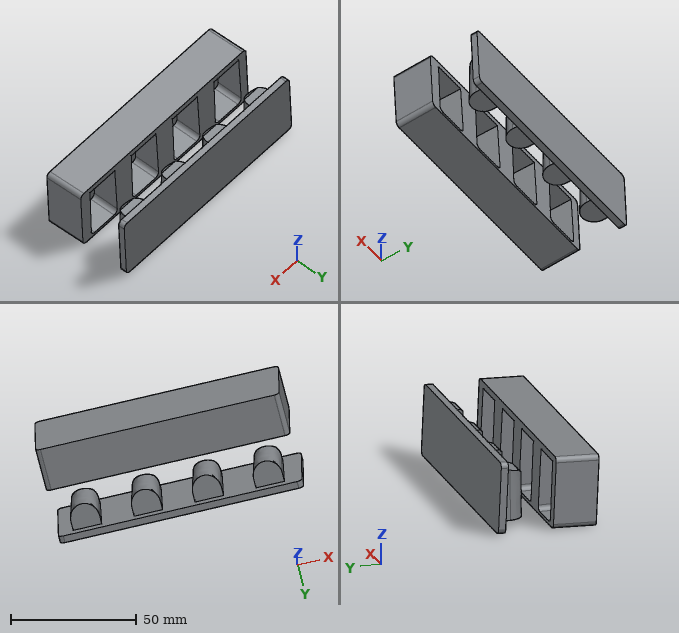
import cadquery as cq
import math

LENGTH = 100.0
HEIGHT = 30.0
CORNER_RADIUS = 2.0
TILT = 2.5
PLATE_THICKNESS = 3.0
HOUSING_DEPTH = 18.0
GAP = 20.0

PRONG_COUNT = 4
PRONG_PITCH = LENGTH / PRONG_COUNT
PRONG_ROW_SHIFT = -0.5
PRONG_BOTTOM = 3.4
PRONG_BASE_WIDTH = 11.7
PRONG_TOP_WIDTH = 11.0
PRONG_BASE_REACH = 10.3
PRONG_TOP_REACH = 10.1
STRAIGHT_REACH = 4.0
ROOT_TOP = 25.2
SLOPE_END_REACH = 8.1
SLOPE_END_HEIGHT = 23.7
NOSE_TOP = 21.4

CLEARANCE = 2.0

TILT_SINE = math.sin(math.radians(TILT))
TILT_COSINE = math.cos(math.radians(TILT))
PLATE_SPAN = PLATE_THICKNESS * TILT_COSINE
PLATE_LIFT = PLATE_THICKNESS * TILT_SINE
ROOT_Y = -HEIGHT * TILT_SINE
PRONG_CENTRES = [
    PRONG_ROW_SHIFT + (i - (PRONG_COUNT - 1) / 2) * PRONG_PITCH for i in range(PRONG_COUNT)
]


def leaning_block(depth):
    """Rounded block whose lower back edge lies on the X axis, extending toward -Y."""
    block = (
        cq.Workplane("XY")
        .box(LENGTH, depth, HEIGHT, centered=(True, False, False))
        .translate((0, -depth, 0))
        .edges("|Y")
        .fillet(CORNER_RADIUS)
    )
    return block.rotate((0, 0, 0), (1, 0, 0), TILT)


def prong_outline(sketch, width, reach):
    """D-shaped cross-section: straight sides closed by a half-ellipse nose."""
    half = width / 2
    return (
        sketch.moveTo(half, -STRAIGHT_REACH)
        .lineTo(half, PLATE_SPAN / 2)
        .lineTo(-half, PLATE_SPAN / 2)
        .lineTo(-half, -STRAIGHT_REACH)
        .ellipseArc(half, reach - STRAIGHT_REACH, 180, 360, sense=1)
        .close()
    )


def prong_shape():
    """Tapered prong centred on X = 0 with a sloping top and a bevel down to the nose."""
    base = cq.Workplane("XY").workplane(offset=PRONG_BOTTOM)
    lower = prong_outline(base, PRONG_BASE_WIDTH, PRONG_BASE_REACH)
    upper_plane = lower.workplane(offset=ROOT_TOP - PRONG_BOTTOM)
    body = prong_outline(upper_plane, PRONG_TOP_WIDTH, PRONG_TOP_REACH).loft(ruled=True)

    waste = (
        cq.Workplane("YZ")
        .moveTo(ROOT_Y, ROOT_TOP)
        .lineTo(-SLOPE_END_REACH, SLOPE_END_HEIGHT)
        .lineTo(-PRONG_BASE_REACH, NOSE_TOP)
        .lineTo(-PRONG_BASE_REACH, HEIGHT)
        .lineTo(ROOT_Y, HEIGHT)
        .close()
        .extrude(PRONG_BASE_WIDTH, both=True)
    )
    return body.cut(waste)


def recess_shape():
    """Pocket centred on X = 0, narrowing upward, with its floor rounded into its sides."""
    half_bottom = PRONG_BASE_WIDTH / 2 + CLEARANCE
    half_top = PRONG_TOP_WIDTH / 2 + CLEARANCE
    bottom = PRONG_BOTTOM - CLEARANCE
    top = ROOT_TOP + CLEARANCE
    return (
        cq.Workplane("XZ")
        .moveTo(-half_bottom, bottom)
        .lineTo(half_bottom, bottom)
        .lineTo(half_top, top)
        .lineTo(-half_top, top)
        .close()
        .extrude(PRONG_BASE_REACH + CLEARANCE)
        .edges("|Y and <Z")
        .fillet(CLEARANCE)
    )


def make_plate():
    """Leaning plate with a row of prongs on its front face."""
    plate = leaning_block(PLATE_THICKNESS).translate((0, PLATE_SPAN, PLATE_LIFT))
    prong = prong_shape()
    for x in PRONG_CENTRES:
        plate = plate.union(prong.translate((x, 0, 0)))
    return plate


def make_housing():
    """Leaning block with one recess in its back face for each prong."""
    housing = leaning_block(HOUSING_DEPTH).translate((0, -GAP, 0))
    recess = recess_shape()
    for x in PRONG_CENTRES:
        housing = housing.cut(recess.translate((x, -GAP, 0)))
    return housing


plate = make_plate()
housing = make_housing()
result = cq.Compound.makeCompound([plate.val(), housing.val()])